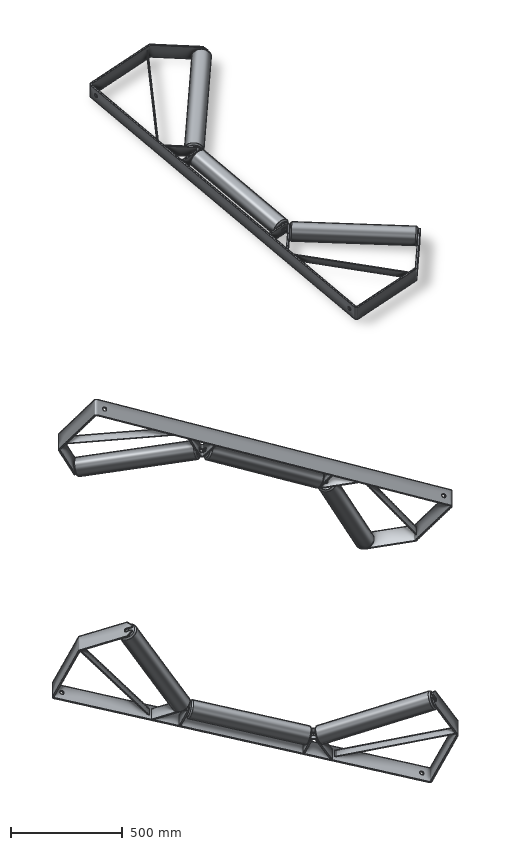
import cadquery as cq
import math

frame_width = 1800.0
strip_height = 80.0
strip_thickness = 7.5
bend_inner_radius = 5.0
bend_outer_radius = bend_inner_radius + strip_thickness
side_height = 362.0
arm_tip_y = 547.0
arm_tip_chamfer = 23.0
mount_hole_diameter = 20.0
mount_hole_inset = 47.0

bracket_height = 60.0
bracket_leg_x = 290.0
bracket_apex_y = 148.0
bracket_outer_radius = 16.0

brace_thickness = 5.0
brace_height = 36.0
brace_side_y = 342.0
brace_foot_x = 443.0

roller_diameter = 88.0
roller_length = 570.0
roller_chamfer = 7.0
shaft_diameter = 18.0
shaft_length = 585.0
middle_roller_y = 100.0
middle_roller_z = -11.5
wing_inner_z = middle_roller_z
wing_outer_z = -4.0
slot_reach = 108.0

half_width = frame_width / 2
base_z = -strip_height / 2

arm_face_offset = side_height + half_width - strip_thickness * math.sqrt(2)
bracket_face_offset = bracket_apex_y + bracket_leg_x
wing_axis_sum = -207.0


def wing_axis_point(line_offset, z):
    """Point where the left wing axis crosses the line Y = X + line_offset."""
    x = (wing_axis_sum - line_offset) / 2
    return cq.Vector(x, x + line_offset, z)


wing_inner_point = wing_axis_point(bracket_face_offset, wing_inner_z)
wing_outer_point = wing_axis_point(arm_face_offset, wing_outer_z)
wing_plane = cq.Plane(
    origin=(wing_inner_point + wing_outer_point) * 0.5,
    xDir=(-1, -1, 0),
    normal=wing_outer_point - wing_inner_point,
)
middle_plane = cq.Plane(origin=(0, middle_roller_y, middle_roller_z), xDir=(0, -1, 0), normal=(1, 0, 0))


def bent_strip(corners, outer_radius, height):
    """Strip standing on the base plane whose outer face follows the corners, every bend turning left."""
    points = [cq.Vector(x, y, 0) for x, y in corners]
    headings = [(b - a).normalized() for a, b in zip(points, points[1:])]
    lefts = [cq.Vector(-h.y, h.x, 0) for h in headings]
    inner_ratio = (outer_radius - strip_thickness) / outer_radius

    bends = []
    for corner, before, after, left in zip(points[1:], headings, headings[1:], lefts):
        tangent = outer_radius * math.tan(before.getAngle(after) / 2)
        start = corner - before * tangent
        end = corner + after * tangent
        centre = start + left * outer_radius
        middle = centre + (corner - centre).normalized() * outer_radius
        bends.append((centre, start, middle, end))

    outline = cq.Workplane("XY", origin=(0, 0, base_z)).moveTo(points[0].x, points[0].y)
    for _, start, middle, end in bends:
        outline = outline.lineTo(start.x, start.y).threePointArc((middle.x, middle.y), (end.x, end.y))
    outline = outline.lineTo(points[-1].x, points[-1].y)

    inner_end = points[-1] + lefts[-1] * strip_thickness
    outline = outline.lineTo(inner_end.x, inner_end.y)
    for centre, start, middle, end in reversed(bends):
        inner = [centre + (point - centre) * inner_ratio for point in (end, middle, start)]
        outline = outline.lineTo(inner[0].x, inner[0].y)
        outline = outline.threePointArc((inner[1].x, inner[1].y), (inner[2].x, inner[2].y))
    inner_start = points[0] + lefts[0] * strip_thickness
    outline = outline.lineTo(inner_start.x, inner_start.y)
    return outline.close().extrude(height)


def make_cylinder(plane, diameter, length):
    """Cylinder along the local Z axis of the plane, centred on its origin."""
    return (
        cq.Workplane(plane)
        .workplane(offset=-length / 2)
        .circle(diameter / 2)
        .extrude(length)
    )


def make_shaft_slots(plane):
    """Round-bottomed slots for both shaft ends, opening towards local -X."""
    length = roller_length + 4 * strip_thickness
    opening = (
        cq.Workplane(plane)
        .box(slot_reach, shaft_diameter, length)
        .translate(plane.xDir * (-slot_reach / 2))
    )
    return make_cylinder(plane, shaft_diameter, length).union(opening)


def make_roller(plane):
    """Chamfered roller with a shaft stub at each end."""
    barrel = make_cylinder(plane, roller_diameter, roller_length).edges("%CIRCLE").chamfer(roller_chamfer)
    return barrel.union(make_cylinder(plane, shaft_diameter, shaft_length))


def mirrored(body, side):
    """The left-hand body itself for side -1, its mirror image for side +1."""
    return body if side < 0 else body.mirror("YZ")


def make_frame():
    """Bar, sides and 45 degree arms in one strip, with slotted tips and two mounting holes."""
    arm_tip_x = half_width - (arm_tip_y - side_height)
    frame = bent_strip(
        [
            (-arm_tip_x, arm_tip_y),
            (-half_width, side_height),
            (-half_width, 0),
            (half_width, 0),
            (half_width, side_height),
            (arm_tip_x, arm_tip_y),
        ],
        bend_outer_radius,
        strip_height,
    )
    for side in (-1, 1):
        tip_face = cq.selectors.NearestToPointSelector((side * arm_tip_x, arm_tip_y, 0))
        tip_edges = cq.selectors.ParallelDirSelector(cq.Vector(side, 1, 0))
        frame = frame.faces(tip_face).edges(tip_edges).chamfer(arm_tip_chamfer)
        frame = frame.cut(mirrored(wing_slots, side))
    hole_x = half_width - mount_hole_inset
    holes = (
        cq.Workplane("XZ")
        .pushPoints([(-hole_x, 0), (hole_x, 0)])
        .circle(mount_hole_diameter / 2)
        .extrude(-strip_thickness)
    )
    return frame.cut(holes)


def make_bracket(side):
    """Leg beside the middle roller and 45 degree plate under the wing roller."""
    bracket = bent_strip(
        [
            (-bracket_leg_x, 0),
            (-bracket_leg_x, bracket_apex_y),
            (-bracket_face_offset, 0),
        ],
        bracket_outer_radius,
        bracket_height,
    )
    bar = cq.Workplane("XY").box(frame_width, 2 * strip_thickness, strip_height)
    bracket = bracket.cut(bar).cut(middle_slots).cut(wing_slots)
    return mirrored(bracket, side)


def make_brace(side):
    """Flat diagonal from the side of the frame to its bar, trimmed to their inner faces."""
    side_end = cq.Vector(-half_width + strip_thickness, brace_side_y, 0)
    foot = cq.Vector(-brace_foot_x, strip_thickness, 0)
    run = foot - side_end
    middle = (side_end + foot) * 0.5
    trim_height = 2 * side_height
    brace = (
        cq.Workplane(cq.Plane(origin=middle, xDir=run, normal=(0, 0, 1)))
        .box(2 * run.Length, brace_thickness, brace_height)
    )
    opening = (
        cq.Workplane("XY")
        .box(frame_width - 2 * strip_thickness, trim_height, strip_height)
        .translate((0, strip_thickness + trim_height / 2, 0))
    )
    return mirrored(brace.intersect(opening), side)


wing_slots = make_shaft_slots(wing_plane)
middle_slots = make_shaft_slots(middle_plane)

frame = make_frame()
brackets = [make_bracket(side) for side in (-1, 1)]
braces = [make_brace(side) for side in (-1, 1)]
middle_roller = make_roller(middle_plane)
wing_rollers = [mirrored(make_roller(wing_plane), side) for side in (-1, 1)]

bodies = [frame, *brackets, *braces, middle_roller, *wing_rollers]
result = cq.Compound.makeCompound([body.solids().val() for body in bodies])